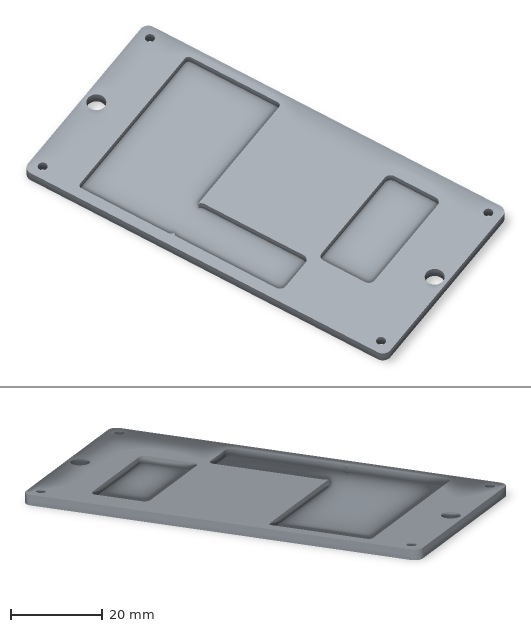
import cadquery as cq

LENGTH = 95.2
WIDTH = 49.0
THICKNESS = 2.5
CORNER_RADIUS = 2.0

HOLE_X = LENGTH / 2 - 3.1
CORNER_HOLE_Y = WIDTH / 2 - 3.0
CORNER_HOLE_DIAMETER = 2.2
MIDDLE_HOLE_DIAMETER = 4.4

POCKET_DEPTH = 1.7
LARGE_POCKET_EDGES = (-34.9, -10.2, -21.9, 21.9)
LARGE_POCKET_RADIUS = 0.95

LOW_POCKET_EDGES = (-10.5, 18.6, -21.7, -10.8)
SIDE_POCKET_EDGES = (20.1, 34.0, -9.6, 18.7)
SMALL_POCKET_RADIUS = 1.5


def pocket(edges, radius):
    """Round-cornered cutter reaching down from the top face."""
    left, right, bottom, top = edges
    return (
        cq.Workplane("XY", origin=((left + right) / 2, (bottom + top) / 2, THICKNESS - POCKET_DEPTH))
        .rect(right - left, top - bottom)
        .extrude(POCKET_DEPTH)
        .edges("|Z")
        .fillet(radius)
    )


plate = (
    cq.Workplane("XY")
    .rect(LENGTH, WIDTH)
    .extrude(THICKNESS)
    .edges("|Z")
    .fillet(CORNER_RADIUS)
)

corner_holes = (
    cq.Workplane("XY")
    .rect(2 * HOLE_X, 2 * CORNER_HOLE_Y, forConstruction=True)
    .vertices()
    .circle(CORNER_HOLE_DIAMETER / 2)
    .extrude(THICKNESS)
)
middle_holes = (
    cq.Workplane("XY")
    .pushPoints([(-HOLE_X, 0), (HOLE_X, 0)])
    .circle(MIDDLE_HOLE_DIAMETER / 2)
    .extrude(THICKNESS)
)

result = (
    plate.cut(corner_holes)
    .cut(middle_holes)
    .cut(pocket(LARGE_POCKET_EDGES, LARGE_POCKET_RADIUS))
    .cut(pocket(LOW_POCKET_EDGES, SMALL_POCKET_RADIUS))
    .cut(pocket(SIDE_POCKET_EDGES, SMALL_POCKET_RADIUS))
)